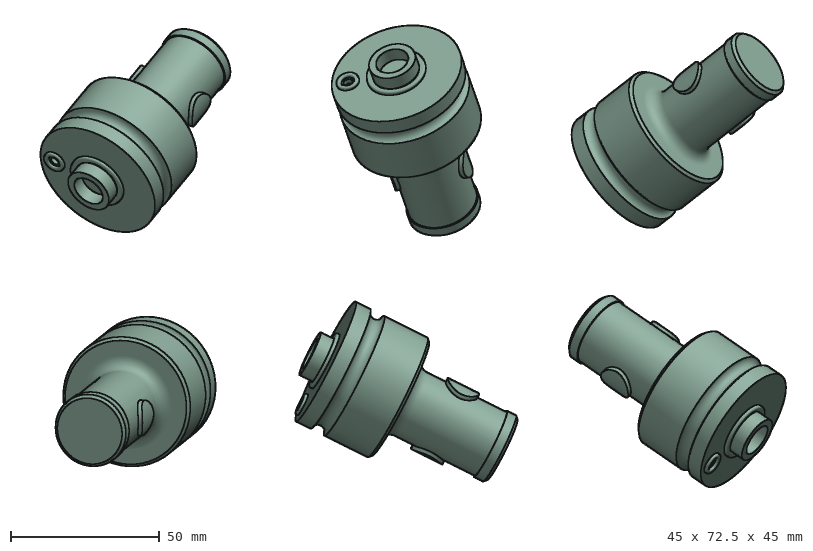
import cadquery as cq
import math


total_length = 72.5
spigot_length = 5.95
shank_end = total_length - spigot_length

flange_diameter = 45.0
flange_radius = flange_diameter / 2
flange_length = 28.05
edge_chamfer = 1.0

groove_center = 8.1
groove_half_width = 2.6
groove_depth = 2.5

shank_diameter = 24.0
shank_radius = shank_diameter / 2
root_fillet = 4.1
band_radius = 12.5
band_start = 62.1

pad_center = 45.0
pad_diameter = 11.95
pad_radius = pad_diameter / 2
pad_height = 1.5

spigot_radius = 8.05
bore_radius = 5.6
bore_depth = 5.0

seal_outer_radius = 10.2
seal_height = 1.2
seal_rounding = 0.615

port_offset = 16.8
port_radius = 1.5
port_depth = 2.0
port_seal_outer_radius = 3.9
port_seal_inner_radius = 2.25
port_seal_height = 1.1
port_seal_rounding = 0.545

pin_radius = 3.05
pin_spacing = 22.6
pin_length = 4.0


def cylinder_y(radius, start, end, x=0):
    """Solid cylinder parallel to Y between two Y positions."""
    base = cq.Workplane("XZ", origin=(x, start, 0))
    return base.circle(radius).extrude(start - end)


def turned_body():
    """Flange and shank revolved about Y."""
    root_radius = shank_radius + root_fillet
    arc_offset = root_fillet * (1 - math.sqrt(0.5))
    outline = (
        cq.Workplane("XY")
        .lineTo(flange_radius, 0)
        .lineTo(flange_radius, groove_center - groove_half_width)
        .threePointArc(
            (flange_radius - groove_depth, groove_center),
            (flange_radius, groove_center + groove_half_width),
        )
        .lineTo(flange_radius, flange_length - edge_chamfer)
        .lineTo(flange_radius - edge_chamfer, flange_length)
        .lineTo(root_radius, flange_length)
        .threePointArc(
            (shank_radius + arc_offset, flange_length + arc_offset),
            (shank_radius, flange_length + root_fillet),
        )
        .lineTo(shank_radius, band_start)
        .lineTo(band_radius, band_start)
        .lineTo(band_radius, shank_end - edge_chamfer)
        .lineTo(band_radius - edge_chamfer, shank_end)
        .lineTo(0, shank_end)
        .close()
    )
    return outline.revolve(360, (0, 0, 0), (0, 1, 0))


def side_pad(side):
    """Round pad whose outer face repeats the shank curve, shifted outwards by the pad height."""
    disc = (
        cq.Workplane("YZ", origin=(0, pad_center, 0))
        .circle(pad_radius)
        .extrude(side * (shank_radius + pad_height))
    )
    shifted_shank = cylinder_y(
        shank_radius, pad_center - pad_radius, pad_center + pad_radius, x=side * pad_height
    )
    return disc.intersect(shifted_shank)


def sealing_ring(outer_radius, inner_radius, height, rounding, x=0):
    """Ring standing on the flange face with both front edges rounded."""
    ring = cylinder_y(outer_radius, -height, 0, x).cut(cylinder_y(inner_radius, -height, 0, x))
    return ring.faces("<Y").edges().fillet(rounding)


def flush_pins():
    """Four pins on a square, with their ends level with the flange face."""
    centers = cq.Workplane("XZ").rect(pin_spacing, pin_spacing, forConstruction=True).vertices()
    return centers.circle(pin_radius).extrude(-pin_length)


body = turned_body()
for side in (-1, 1):
    body = body.union(side_pad(side))

seal = sealing_ring(seal_outer_radius, spigot_radius, seal_height, seal_rounding)
port_seal = sealing_ring(
    port_seal_outer_radius,
    port_seal_inner_radius,
    port_seal_height,
    port_seal_rounding,
    x=-port_offset,
)
body = body.union(seal).union(port_seal)
body = body.union(cylinder_y(spigot_radius, -spigot_length, 0))

body = body.cut(cylinder_y(bore_radius, -spigot_length, bore_depth - spigot_length))
body = body.cut(cylinder_y(port_radius, 0, port_depth, x=-port_offset))

pins = flush_pins()
result = body.cut(pins).union(pins, clean=False)